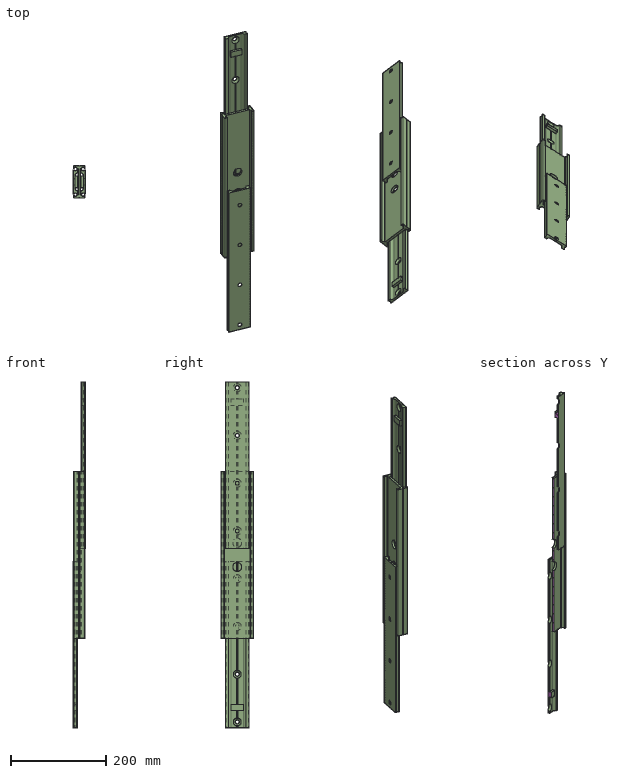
import cadquery as cq
import math


SLIDE_LENGTH = 725.0
SLIDE_DEPTH = 26.0
CARRIER_DEPTH = 23.0
CARRIER_WIDTH = 68.0
CARRIER_LENGTH = 350.0
RAIL_LENGTH = 349.0

CHANNEL_WIDTH = 54.5
WEB_THICKNESS = 5.0
LIP_RADIUS = 1.5
EDGE_GROOVE_WIDTH = 2.0
EDGE_GROOVE_DEPTH = 1.0
WEB_HOLE_DIAMETER = 19.0
WEB_HOLE_OFFSET = 25.5

RAIL_WIDTH = 50.0
RAIL_THICKNESS = 9.5
RECESS_DEPTH = 5.0
RECESS_WIDTH = 38.0
RECESS_FLOOR_WIDTH = 25.5
FLOOR_GROOVE_WIDTH = 2.0
FLOOR_GROOVE_DEPTH = 1.0

RACE_RADIUS = 3.25
RACE_X = 8.0
RACE_Y = 27.0

HOLE_COUNT = 4
HOLE_PITCH = 100.0
HOLE_END_INSET = 12.0
HOLE_DIAMETER = 8.0
COUNTERSINK_DIAMETER = 17.0
COUNTERSINK_ANGLE = 90
STOP_LENGTH = 13.0
STOP_END_INSET = 36.0

RAIL_BACK_X = SLIDE_DEPTH / 2
RAIL_INNER_X = RAIL_BACK_X - RAIL_THICKNESS
RECESS_FLOOR_X = RAIL_INNER_X + RECESS_DEPTH
RAIL_END_Z = SLIDE_LENGTH / 2
RAIL_START_Z = RAIL_END_Z - RAIL_LENGTH


def race_cylinders(length, start_z):
    """The two ball races on the +X side, as cylinders along Z."""
    return (
        cq.Workplane("XY", origin=(RACE_X, 0, start_z))
        .pushPoints([(0, RACE_Y), (0, -RACE_Y)])
        .circle(RACE_RADIUS)
        .extrude(length)
    )


def make_carrier():
    """H section with a ball race in each channel wall and two holes in the web."""
    start_z = -CARRIER_LENGTH / 2
    channel_depth = (CARRIER_DEPTH - WEB_THICKNESS) / 2
    body = cq.Workplane("XY").box(CARRIER_DEPTH, CARRIER_WIDTH, CARRIER_LENGTH)
    for side in (1, -1):
        channel_x = side * (WEB_THICKNESS + channel_depth) / 2
        channel = (
            cq.Workplane("XY", origin=(channel_x, 0, 0))
            .box(channel_depth, CHANNEL_WIDTH, CARRIER_LENGTH)
        )
        body = body.cut(channel)

    body = body.faces("<X or >X").edges("|Z").fillet(LIP_RADIUS)

    races = race_cylinders(CARRIER_LENGTH, start_z)
    body = body.cut(races).cut(races.mirror("YZ"))

    edge_groove = (
        cq.Workplane("XY", origin=(0, CARRIER_WIDTH / 2, start_z))
        .polyline([
            (-EDGE_GROOVE_WIDTH / 2, 0),
            (0, -EDGE_GROOVE_DEPTH),
            (EDGE_GROOVE_WIDTH / 2, 0),
        ])
        .close()
        .extrude(CARRIER_LENGTH)
    )
    body = body.cut(edge_groove).cut(edge_groove.mirror("XZ"))

    web_holes = (
        cq.Workplane("YZ", origin=(-WEB_THICKNESS / 2, 0, 0))
        .pushPoints([(0, WEB_HOLE_OFFSET), (0, -WEB_HOLE_OFFSET)])
        .circle(WEB_HOLE_DIAMETER / 2)
        .extrude(WEB_THICKNESS)
    )
    return body.cut(web_holes)


def rail_recess():
    """Recess in the inner face: flat floor with a V groove, and concave sides tangent to the floor."""
    half_floor = RECESS_FLOOR_WIDTH / 2
    half_open = RECESS_WIDTH / 2
    half_groove = FLOOR_GROOVE_WIDTH / 2
    run = half_open - half_floor
    radius = (run**2 + RECESS_DEPTH**2) / (2 * RECESS_DEPTH)
    half_sweep = math.asin(run / radius) / 2
    mid_x = RECESS_FLOOR_X - radius * (1 - math.cos(half_sweep))
    mid_y = half_floor + radius * math.sin(half_sweep)
    return (
        cq.Workplane("XY", origin=(0, 0, RAIL_START_Z))
        .moveTo(RAIL_INNER_X, -half_open)
        .threePointArc((mid_x, -mid_y), (RECESS_FLOOR_X, -half_floor))
        .lineTo(RECESS_FLOOR_X, -half_groove)
        .lineTo(RECESS_FLOOR_X + FLOOR_GROOVE_DEPTH, 0)
        .lineTo(RECESS_FLOOR_X, half_groove)
        .lineTo(RECESS_FLOOR_X, half_floor)
        .threePointArc((mid_x, mid_y), (RAIL_INNER_X, half_open))
        .close()
        .extrude(RAIL_LENGTH)
    )


def stop_block():
    """Block that fills the recess between its floor edges near the outer end of the rail."""
    depth = RECESS_DEPTH + FLOOR_GROOVE_DEPTH
    return cq.Workplane("XY").box(depth, RECESS_FLOOR_WIDTH, STOP_LENGTH).translate((
        RAIL_INNER_X + depth / 2,
        0,
        RAIL_END_Z - STOP_END_INSET - STOP_LENGTH / 2,
    ))


def screw_hole(z):
    """Through hole, countersunk from the recess floor."""
    hole = (
        cq.Workplane("YZ", origin=(RECESS_FLOOR_X, 0, z))
        .circle(HOLE_DIAMETER / 2)
        .extrude(RAIL_BACK_X - RECESS_FLOOR_X)
    )
    cone_depth = (
        (COUNTERSINK_DIAMETER - HOLE_DIAMETER) / 2
        / math.tan(math.radians(COUNTERSINK_ANGLE / 2))
    )
    cone = cq.Workplane(cq.Solid.makeCone(
        COUNTERSINK_DIAMETER / 2,
        HOLE_DIAMETER / 2,
        cone_depth,
        pnt=cq.Vector(RECESS_FLOOR_X, 0, z),
        dir=cq.Vector(1, 0, 0),
    ))
    return hole.union(cone)


def make_rail():
    """Rail of the +X channel, leaving the carrier at its upper end."""
    body = cq.Workplane("XY").box(RAIL_THICKNESS, RAIL_WIDTH, RAIL_LENGTH).translate((
        RAIL_BACK_X - RAIL_THICKNESS / 2,
        0,
        RAIL_START_Z + RAIL_LENGTH / 2,
    ))
    body = body.cut(rail_recess())
    body = body.union(stop_block())
    body = body.cut(race_cylinders(RAIL_LENGTH, RAIL_START_Z))
    for index in range(HOLE_COUNT):
        body = body.cut(screw_hole(RAIL_END_Z - HOLE_END_INSET - index * HOLE_PITCH))
    return body


carrier = make_carrier()

rails = []
for turn in (0, 180):
    rail = make_rail().rotate((0, 0, 0), (0, 1, 0), turn)
    rails.append(rail.val())

result = cq.Compound.makeCompound([carrier.val(), *rails])